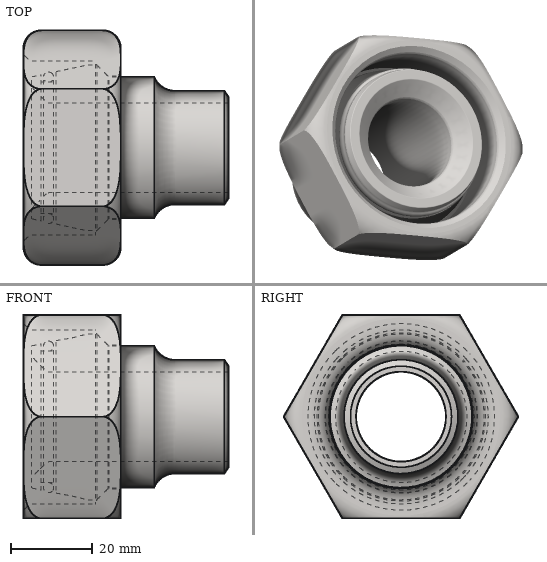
import cadquery as cq
import math


OVERALL_LENGTH = 50.5
OVERLAP = 1.0

NUT_LENGTH = 24.0
ACROSS_FLATS = 50.0
ACROSS_CORNERS = ACROSS_FLATS / math.cos(math.radians(30))
NUT_FACE_RADIUS = 24.35
CORNER_ROUNDING = ACROSS_CORNERS / 2 - NUT_FACE_RADIUS
THREAD_RADIUS = 42.8 / 2
ENTRY_RADIUS = 45.9 / 2
ENTRY_ANGLE = 45.0
ENTRY_BLEND_RADIUS = 1.0
NUT_HOLE_RADIUS = 35.34 / 2
SEAT_MOUTH_RADIUS = 20.7

NOSE_X = 1.9
NOSE_RADIUS = 17.45
NOSE_ROUNDING = 0.2
MOUTH_ROUNDING = 0.3
CONE_HALF_ANGLE = 12.0
FLANGE_RADIUS = 40.8 / 2
COLLAR_RADIUS = 34.89 / 2
TUBE_RADIUS = 28.0 / 2
BORE_RADIUS = 22.05 / 2
COLLAR_END_X = 32.15
NECK_RADIUS = 5.5
WELD_BEVEL_LENGTH = 1.1
WELD_BEVEL_ANGLE = 35.0
MOUTH_RADIUS = 15.0
MOUTH_CONE_HALF_ANGLE = 45.0
BORE_BLEND_RADIUS = 1.0

FLANGE_END_X = 18.0

RING_SECTION = 2.5
GROOVE_START_X = 4.3
GROOVE_WIDTH = 3.7
GROOVE_FLOOR_RADIUS = 16.15


def tan_deg(angle):
    return math.tan(math.radians(angle))


def revolve_about_x(profile):
    """Turn a closed (X, radius) profile one full turn about the X axis."""
    return profile.close().revolve(360, (0, 0, 0), (1, 0, 0))


def ring_edge_near(body, x, radius):
    """Select the circular edge around the X axis with the given place and radius."""
    margin = 0.01
    reach = radius + margin
    circles = body.edges("%CIRCLE").edges(
        cq.selectors.BoxSelector((x - margin, -reach, -reach), (x + margin, reach, reach), boundingbox=True)
    )
    return circles.edges(cq.selectors.RadiusNthSelector(-1))


def make_nut():
    hexagon = (
        cq.Workplane("YZ")
        .polygon(6, ACROSS_CORNERS)
        .extrude(NUT_LENGTH)
    )
    rounded_envelope = (
        cq.Workplane("YZ")
        .circle(ACROSS_CORNERS / 2)
        .extrude(NUT_LENGTH)
        .edges("%CIRCLE")
        .fillet(CORNER_ROUNDING)
    )
    entry_depth = (ENTRY_RADIUS - THREAD_RADIUS) * tan_deg(ENTRY_ANGLE)
    seat_start_x = FLANGE_END_X - (SEAT_MOUTH_RADIUS - FLANGE_RADIUS)
    seat_end_x = FLANGE_END_X + FLANGE_RADIUS - NUT_HOLE_RADIUS
    opening = revolve_about_x(
        cq.Workplane("XY")
        .moveTo(0, 0)
        .lineTo(0, ENTRY_RADIUS)
        .lineTo(entry_depth, THREAD_RADIUS)
        .lineTo(seat_start_x, THREAD_RADIUS)
        .lineTo(seat_start_x, SEAT_MOUTH_RADIUS)
        .lineTo(seat_end_x, NUT_HOLE_RADIUS)
        .lineTo(NUT_LENGTH + OVERLAP, NUT_HOLE_RADIUS)
        .lineTo(NUT_LENGTH + OVERLAP, 0)
    )
    nut = hexagon.intersect(rounded_envelope).cut(opening)
    return ring_edge_near(nut, entry_depth, THREAD_RADIUS).fillet(ENTRY_BLEND_RADIUS)


def make_nipple():
    cone_end_x = NOSE_X + (FLANGE_RADIUS - NOSE_RADIUS) / tan_deg(CONE_HALF_ANGLE)
    collar_start_x = FLANGE_END_X + FLANGE_RADIUS - COLLAR_RADIUS

    neck_centre_radius = TUBE_RADIUS + NECK_RADIUS
    neck_length = math.sqrt(NECK_RADIUS**2 - (neck_centre_radius - COLLAR_RADIUS) ** 2)
    neck_end_x = COLLAR_END_X + neck_length
    half_sweep = math.asin(neck_length / NECK_RADIUS) / 2
    neck_middle = (
        neck_end_x - NECK_RADIUS * math.sin(half_sweep),
        neck_centre_radius - NECK_RADIUS * math.cos(half_sweep),
    )

    bevel_height = WELD_BEVEL_LENGTH / tan_deg(WELD_BEVEL_ANGLE)
    mouth_end_x = NOSE_X + (MOUTH_RADIUS - BORE_RADIUS) / tan_deg(MOUTH_CONE_HALF_ANGLE)

    nipple = revolve_about_x(
        cq.Workplane("XY")
        .moveTo(NOSE_X, MOUTH_RADIUS)
        .lineTo(NOSE_X, NOSE_RADIUS)
        .lineTo(cone_end_x, FLANGE_RADIUS)
        .lineTo(FLANGE_END_X, FLANGE_RADIUS)
        .lineTo(collar_start_x, COLLAR_RADIUS)
        .lineTo(COLLAR_END_X, COLLAR_RADIUS)
        .threePointArc(neck_middle, (neck_end_x, TUBE_RADIUS))
        .lineTo(OVERALL_LENGTH - WELD_BEVEL_LENGTH, TUBE_RADIUS)
        .lineTo(OVERALL_LENGTH, TUBE_RADIUS - bevel_height)
        .lineTo(OVERALL_LENGTH, BORE_RADIUS)
        .lineTo(mouth_end_x, BORE_RADIUS)
    )
    nipple = ring_edge_near(nipple, mouth_end_x, BORE_RADIUS).fillet(BORE_BLEND_RADIUS)
    nipple = ring_edge_near(nipple, NOSE_X, NOSE_RADIUS).fillet(NOSE_ROUNDING)
    nipple = ring_edge_near(nipple, NOSE_X, MOUTH_RADIUS).fillet(MOUTH_ROUNDING)

    groove = (
        cq.Workplane("YZ", origin=(GROOVE_START_X, 0, 0))
        .circle(FLANGE_RADIUS + OVERLAP)
        .circle(GROOVE_FLOOR_RADIUS)
        .extrude(GROOVE_WIDTH)
    )
    return nipple.cut(groove)


def make_o_ring():
    """The ring rests on the groove floor, midway between the groove walls."""
    centre_x = GROOVE_START_X + GROOVE_WIDTH / 2
    centre_radius = GROOVE_FLOOR_RADIUS + RING_SECTION / 2
    return (
        cq.Workplane("XY")
        .moveTo(centre_x, centre_radius)
        .circle(RING_SECTION / 2)
        .revolve(360, (0, 0, 0), (1, 0, 0))
    )


nut = make_nut()
nipple = make_nipple()
o_ring = make_o_ring()

bodies = [nut, nipple, o_ring]
result = cq.Compound.makeCompound([body.solids().val() for body in bodies])